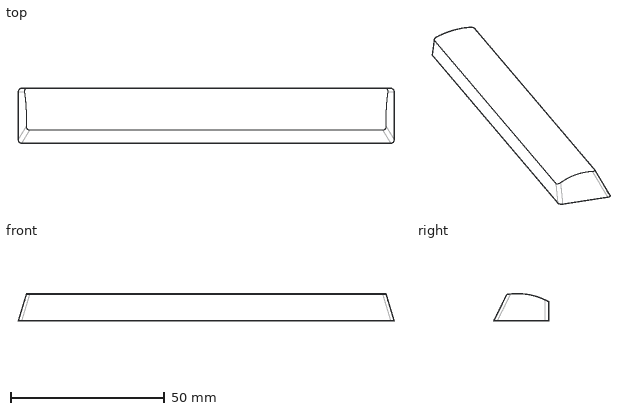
import cadquery as cq
import math

length = 122.8
depth = 18.0
height = 9.0

end_inset = 2.7
front_run = 4.3
back_height = 6.3
corner_radius = 1.2

crest_setback = 10.3

front_y = -depth / 2
back_y = depth / 2
crest_y = back_y - crest_setback
crown_drop = height - back_height
crown_radius = (crest_setback**2 + crown_drop**2) / (2 * crown_drop)
crown_center_z = height - crown_radius


def crown_z(y):
    """Height of the crowned top at a given y."""
    return crown_center_z + math.sqrt(crown_radius**2 - (y - crest_y)**2)


front_top_y = front_y + front_run
front_top_z = crown_z(front_top_y)
front_inset = front_run * height / front_top_z


def tapered_block():
    """Flat-topped block with leaning walls and rounded corner edges."""
    top_length = length - 2 * end_inset
    top_depth = depth - front_inset
    block = (
        cq.Workplane("XY")
        .rect(length, depth)
        .workplane(offset=height)
        .center(0, front_inset / 2)
        .rect(top_length, top_depth)
        .loft(ruled=True)
    )
    return block.edges("not(#Z)").fillet(corner_radius)


def crown_envelope():
    """Cross-section along X that keeps everything below the crowned top."""
    return (
        cq.Workplane("YZ")
        .moveTo(front_y, 0)
        .lineTo(back_y, 0)
        .lineTo(back_y, back_height)
        .threePointArc((crest_y, height), (front_y, crown_z(front_y)))
        .close()
        .extrude(length / 2, both=True)
    )


result = tapered_block().intersect(crown_envelope())